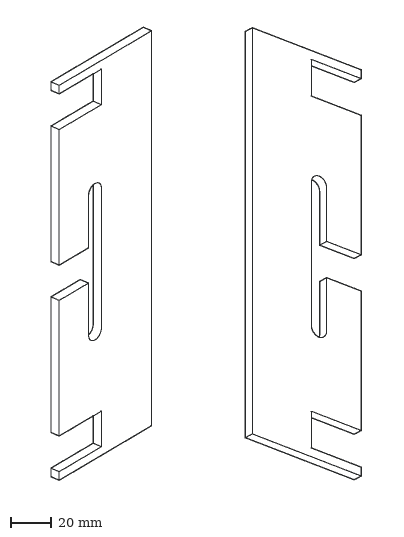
import cadquery as cq

thickness = 5.5
width = 70.5
height = 226.7

opening_depth = 32.2
prong_height = 5.0
notch_height = 20.5
mouth_height = 20.2
slot_width = 9.7
slot_length = 89.8

edge_y = -width / 2
inner_y = edge_y + opening_depth


def edge_notch(center_z, notch_size):
    """Rectangular cutter from the -Y edge to the inner wall."""
    return cq.Workplane("XY").box(thickness, opening_depth, notch_size).translate(
        (0, edge_y + opening_depth / 2, center_z)
    )


plate = cq.Workplane("XY").box(thickness, width, height)

notch_z = height / 2 - prong_height - notch_height / 2
for side in (-1, 1):
    plate = plate.cut(edge_notch(side * notch_z, notch_height))

slot = (
    cq.Workplane("YZ")
    .center(inner_y - slot_width / 2, 0)
    .slot2D(slot_length, slot_width, 90)
    .extrude(thickness / 2, both=True)
)
result = plate.cut(edge_notch(0, mouth_height)).cut(slot)